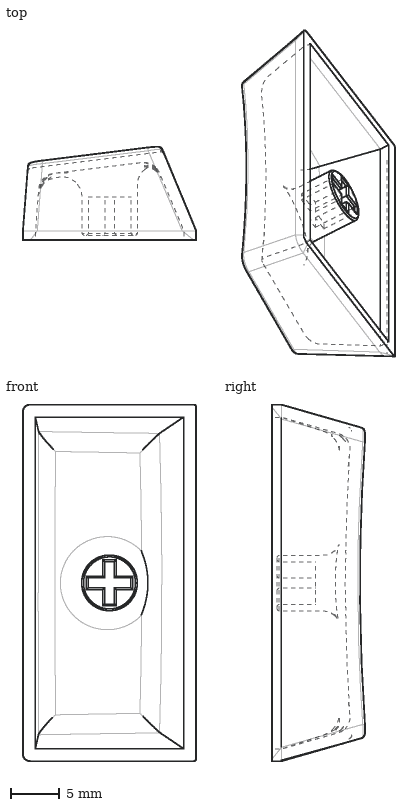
import cadquery as cq
import math

width = 18.0
length = 37.0
band_height = 1.0
rim_radius_left = 0.75
rim_radius_right = 0.25
wall_radius = 1.48
crown_left = -8.4
crown_right = 5.1
crown_half_length = 15.87
crown_left_height = 8.65
crown_slope = 7.1
dish_edge_drop = 0.55
dish_sag = 0.63
crown_fillet = 0.45

wall = 1.3
crown_thickness = 1.3
floor_fillet = 2.0

stem_radius = 2.9
stem_start = 0.5
stem_chamfer = 0.2
stem_flare = 2.0
slot_length = 4.4
slot_width = 1.05
slot_depth = 4.0
slot_chamfer = 0.2

slope = math.radians(crown_slope)
slope_dir = cq.Vector(math.cos(slope), math.sin(slope), 0)
floor_depth = dish_edge_drop + crown_thickness
root_reach = stem_radius + 0.37
root_low = crown_left_height / 2
margin = 3.7


def section(left, right, half_length, height, rise=0.0, left_radius=0.0, right_radius=0.0):
    """Rectangle at a height over the rim; rise is dY/dX, radii round the corners."""
    corners = [
        (left, -half_length, 1, 1, left_radius),
        (right, -half_length, -1, 1, right_radius),
        (right, half_length, -1, -1, right_radius),
        (left, half_length, 1, -1, left_radius),
    ]

    def point(x, z):
        return cq.Vector(x, height + rise * (x - left), z)

    stretches = []
    for index, (x, z, inward_x, inward_z, radius) in enumerate(corners):
        along_x = point(x + inward_x * radius, z)
        along_z = point(x, z + inward_z * radius)
        bite = radius * (1 - math.sqrt(0.5))
        middle = point(x + inward_x * bite, z + inward_z * bite)
        ends = (along_z, along_x) if index % 2 == 0 else (along_x, along_z)
        stretches.append((ends[0], middle, ends[1], radius))

    edges = []
    for index, (start, middle, end, radius) in enumerate(stretches):
        if radius > 0:
            edges.append(cq.Edge.makeThreePointArc(start, middle, end))
        next_start = stretches[(index + 1) % len(stretches)][0]
        edges.append(cq.Edge.makeLine(end, next_start))
    return cq.Wire.assembleEdges(edges)


def loft(lower, upper):
    """Ruled solid between two outlines."""
    return cq.Workplane(obj=cq.Solid.makeLoft([lower, upper], True))


def dish_cutter(depth):
    """Everything above a dish lying the given depth below the crown blank."""
    origin = cq.Vector(crown_left, crown_left_height, 0) - slope_dir * margin
    plane = cq.Plane(origin=origin, xDir=(0, 0, -1), normal=slope_dir)
    half = crown_half_length
    radius = (half**2 + dish_sag**2) / (2 * dish_sag)
    reach = half + margin
    reach_height = radius - math.sqrt(radius**2 - reach**2) - dish_sag - depth
    return (
        cq.Workplane(plane)
        .moveTo(-reach, reach_height)
        .threePointArc((0, -dish_sag - depth), (reach, reach_height))
        .lineTo(reach, reach_height + 2 * margin)
        .lineTo(-reach, reach_height + 2 * margin)
        .close()
        .extrude(width + 2 * margin)
    )


def tapered(inset, radius, depth, edge_fillet):
    """Tapered block from the band up to the dish, with its top edges rounded."""
    lower = section(
        -width / 2 + inset, width / 2 - inset, length / 2 - inset, band_height,
        left_radius=radius, right_radius=radius,
    )
    upper = section(
        crown_left + inset, crown_right - inset, crown_half_length - inset,
        crown_left_height + inset * math.tan(slope), math.tan(slope), radius, radius,
    )
    block = loft(lower, upper).cut(dish_cutter(depth))
    return block.faces(">Y").edges().fillet(edge_fillet)


def make_shell():
    """Outer solid of the keycap and the hollow to take out of it."""
    rim = section(
        -width / 2, width / 2, length / 2, 0,
        left_radius=rim_radius_left, right_radius=rim_radius_right,
    )
    band_top = section(
        -width / 2, width / 2, length / 2, band_height,
        left_radius=wall_radius, right_radius=wall_radius,
    )
    outside = loft(rim, band_top).union(tapered(0, wall_radius, dish_edge_drop, crown_fillet))
    mouth = cq.Workplane("XZ").rect(width - 2 * wall, length - 2 * wall).extrude(-band_height)
    hollow = mouth.union(tapered(wall, 0, floor_depth, floor_fillet))
    return outside, hollow


def make_stem(floor_block):
    """Round post from its free end into the crown, flared where it meets the floor."""
    plane = cq.Workplane("XZ", origin=(0, stem_start, 0))
    post = plane.circle(stem_radius).extrude(-crown_left_height).faces("<Y").chamfer(stem_chamfer)
    rooted = post.union(floor_block)
    root = cq.selectors.BoxSelector(
        (-root_reach, root_low, -root_reach),
        (root_reach, crown_left_height, root_reach),
        boundingbox=True,
    )
    return rooted.edges(root).fillet(stem_flare)


def make_slot():
    """Cross-shaped slot with a chamfered mouth."""
    plane = cq.Workplane("XZ", origin=(0, stem_start, 0))
    cross = plane.rect(slot_length, slot_width).extrude(-slot_depth)
    cross = cross.union(plane.rect(slot_width, slot_length).extrude(-slot_depth))
    for size_x, size_z in ((slot_length, slot_width), (slot_width, slot_length)):
        mouth = cq.Solid.makeLoft([
            plane.rect(size_x + 2 * slot_chamfer, size_z + 2 * slot_chamfer).wires().val(),
            plane.workplane(offset=-slot_chamfer).rect(size_x, size_z).wires().val(),
        ], True)
        cross = cross.union(cq.Workplane(obj=mouth))
    return cross


outside, hollow = make_shell()
stem = make_stem(dish_cutter(floor_depth)).intersect(outside)
result = outside.cut(hollow).union(stem).cut(make_slot())